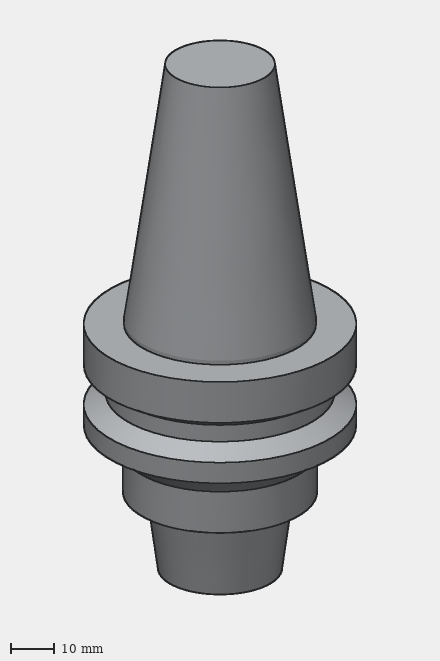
import cadquery as cq


total_height = 128.9
flange_diameter = 63.0
groove_diameter = 53.0
collar_diameter = 45.0

gauge_diameter = 44.5
taper_rate = 7 / 24
taper_length = 65.4
gap_height = 1.0

flange_height = 25.9
upper_rim_height = 10.5
lower_rim_height = 5.3
groove_side_height = 3.0

shoulder_diameter = 59.3
shoulder_height = 6.5

collar_height = 10.6
collar_cone_height = 2.7
nose_top_diameter = 33.4
nose_tip_diameter = 28.7

gauge_z = total_height - taper_length
flange_top_z = gauge_z - gap_height
groove_top_z = flange_top_z - upper_rim_height
flange_bottom_z = flange_top_z - flange_height
groove_bottom_z = flange_bottom_z + lower_rim_height
collar_top_z = flange_bottom_z - shoulder_height
collar_bottom_z = collar_top_z - collar_height
nose_top_z = collar_bottom_z - collar_cone_height

shank_end_diameter = gauge_diameter - taper_length * taper_rate

section = [
    (nose_tip_diameter, 0),
    (nose_top_diameter, nose_top_z),
    (collar_diameter, collar_bottom_z),
    (collar_diameter, collar_top_z),
    (shoulder_diameter, flange_bottom_z),
    (flange_diameter, flange_bottom_z),
    (flange_diameter, groove_bottom_z),
    (groove_diameter, groove_bottom_z + groove_side_height),
    (groove_diameter, groove_top_z - groove_side_height),
    (flange_diameter, groove_top_z),
    (flange_diameter, flange_top_z),
    (gauge_diameter, flange_top_z),
    (gauge_diameter, gauge_z),
    (shank_end_diameter, total_height),
]

outline = [(diameter / 2, height) for diameter, height in section]
axis_points = [(0, total_height), (0, 0)]

result = (
    cq.Workplane("XZ")
    .polyline(outline + axis_points)
    .close()
    .revolve(360, (0, 0, 0), (0, 1, 0))
)